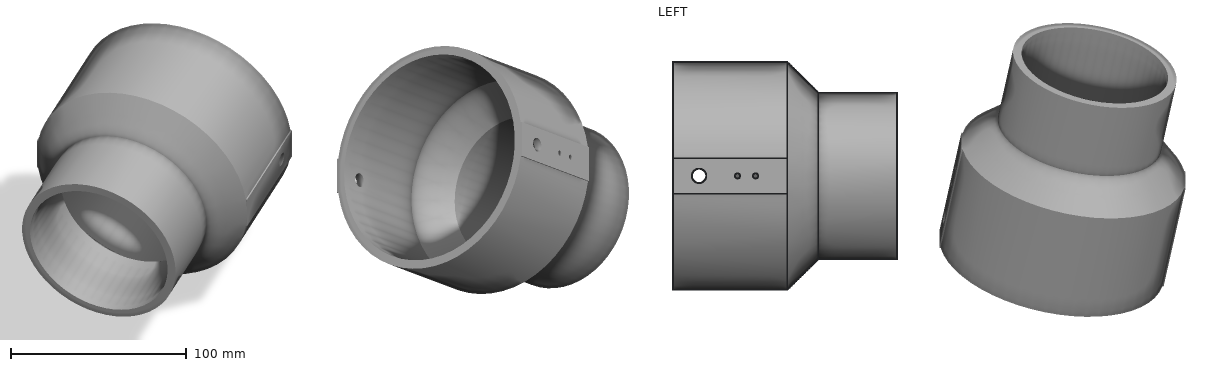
import cadquery as cq

total_length = 127.7
socket_length = 65.0
spigot_length = 45.0

socket_radius = 65.0
spigot_radius = 47.5
wall = 5.0
spigot_bore_radius = spigot_radius - wall
socket_bore_radius = socket_radius - wall

pad_height = 20.0

cross_hole_diameter = 8.0
cross_hole_distance = 15.0
pilot_diameter = 3.0
pilot_distance = 36.8
pilot_spacing = 10.3
pilot_depth = 2.6

cone_start = spigot_length
cone_end = total_length - socket_length


def stepped_solid(small_radius, large_radius):
    """Full-length revolved body: small cylinder, cone, large cylinder."""
    profile = (
        cq.Workplane("XY")
        .lineTo(small_radius, 0)
        .lineTo(small_radius, cone_start)
        .lineTo(large_radius, cone_end)
        .lineTo(large_radius, total_length)
        .lineTo(0, total_length)
        .close()
    )
    return profile.revolve(360, (0, 0, 0), (0, 1, 0))


def side_hole(diameter, distance, start_x, depth):
    """Cylinder along +X at the given distance from the socket mouth."""
    return (
        cq.Workplane("YZ", origin=(start_x, total_length - distance, 0))
        .circle(diameter / 2)
        .extrude(depth)
    )


pads = cq.Workplane("XY").box(2 * socket_radius, socket_length, pad_height)
pads = pads.translate((0, total_length - socket_length / 2, 0))
outer = stepped_solid(spigot_radius, socket_radius).union(pads)

result = outer.cut(stepped_solid(spigot_bore_radius, socket_bore_radius))

result = result.cut(
    side_hole(cross_hole_diameter, cross_hole_distance, -socket_radius, 2 * socket_radius)
)

for index in range(2):
    distance = pilot_distance + index * pilot_spacing
    result = result.cut(side_hole(pilot_diameter, distance, -socket_radius, pilot_depth))